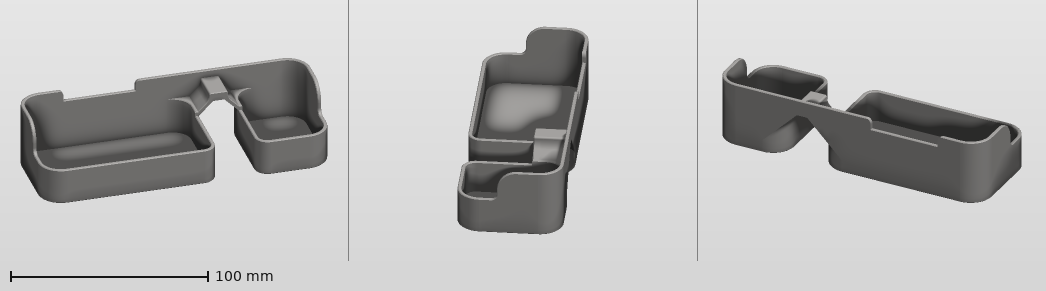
import cadquery as cq

width = 54.0
height = 35.0
large_length = 91.5
gap = 21.0
small_length = 39.5
length = large_length + gap + small_length
gap_start = large_length
gap_end = large_length + gap
gap_center = large_length + gap / 2

wall = 2.0
floor = 2.0
corner_radius = 12.0
gap_corner_radius = 7.0
edge_chamfer = 0.38

low_height = 19.0
step_x = 32.8
step_top_radius = 10.0
step_foot_radius = 3.0

bridge_width = 18.5
arch_height = 26.5
arch_flat = 6.0
shelf_height = 21.5
flank_foot = gap / 2 + 0.3
pad_length = 9.9
pad_height = 31.0
pad_edge_radius = 1.0
pad_foot_radius = 6.0

notch_start = 25.0
notch_length = 38.0
notch_depth = 6.0
notch_radius = 3.0
notch_end = notch_start + notch_length
notch_floor = height - notch_depth

tolerance = 0.002
longest_cross_edge = 1.5 * wall

span_half = gap / 2 + corner_radius
span = (gap_center - span_half, gap_center + span_half)


def box(x_range, y_range, z_range):
    """Axis-aligned box from its start and end along each axis."""
    sizes = [end - start for start, end in (x_range, y_range, z_range)]
    start = (x_range[0], y_range[0], z_range[0])
    return cq.Workplane("XY").box(*sizes, centered=False).translate(start)


def rounded_box(y_range, z_range, inset, gap_side):
    """Box across the width, inset from the outer tray walls; its +X corner at the gap is tighter."""
    start, end = y_range
    block = box((inset, width - inset), (start + inset, end - inset), z_range)
    far_side = "<Y" if gap_side == ">Y" else ">Y"
    block = block.edges(f"|Z and (<X or {far_side})").fillet(corner_radius - inset)
    return block.edges(f"|Z and >X and {gap_side}").fillet(gap_corner_radius - inset)


def tray_body(y_range, gap_side):
    body = rounded_box(y_range, (0, height), 0, gap_side)
    return body.faces("<Z").edges().chamfer(edge_chamfer)


def tray_pocket(y_range, gap_side):
    return rounded_box(y_range, (floor, height), wall, gap_side)


def low_side():
    """Space above the low side, with the rounded step in the end walls."""
    step = (
        cq.Workplane("XZ")
        .moveTo(step_x - step_top_radius, height)
        .radiusArc((step_x, height - step_top_radius), step_top_radius)
        .lineTo(step_x, low_height + step_foot_radius)
        .radiusArc((step_x + step_foot_radius, low_height), -step_foot_radius)
        .lineTo(width, low_height)
        .lineTo(width, height)
        .close()
        .extrude(-length)
    )
    gap_walls = box((wall, width), span, (low_height, height))
    return step.union(gap_walls)


def gap_prism(half_outline, x_end):
    """Prism along X, symmetric about the middle of the gap; points run from the top outwards."""
    mirrored = [(-y, z) for y, z in reversed(half_outline)]
    return (
        cq.Workplane("YZ", origin=(0, gap_center, 0))
        .polyline(half_outline + mirrored)
        .close()
        .extrude(x_end)
    )


def bridge():
    """Solid bridge with the raised pad on top; the passage below it is cut later."""
    pad_half = pad_length / 2
    pad_foot = shelf_height + flank_foot - pad_half
    half_outline = [
        (pad_half, pad_height),
        (pad_half, pad_foot),
        (flank_foot, shelf_height),
        (span_half, shelf_height),
        (span_half, 0),
    ]
    block = gap_prism(half_outline, bridge_width)
    for z, radius in ((pad_height, pad_edge_radius), (pad_foot, pad_foot_radius)):
        for side in (-1, 1):
            corner = (bridge_width / 2, gap_center + side * pad_half, z)
            block = block.edges(cq.selectors.NearestToPointSelector(corner)).fillet(radius)
    open_side = block.faces(">X").edges().vals()
    top_edges = [edge for edge in open_side if edge.Center().z > shelf_height - tolerance]
    return block.newObject(top_edges).chamfer(edge_chamfer)


def shelf_lip(y_range, gap_side):
    """Sloped cut that chamfers the bridge shelf where it meets a tray pocket."""
    z_range = (shelf_height - edge_chamfer, height)
    flared_pocket = rounded_box(y_range, z_range, wall - edge_chamfer, gap_side)
    flared_pocket = flared_pocket.faces("<Z").edges().chamfer(edge_chamfer)
    return flared_pocket.intersect(box((wall, bridge_width), span, z_range))


def passage():
    """Arched space below the bridge, between the rounded tray corners."""
    arch_half = arch_flat / 2
    arch_base = arch_height - (span_half - arch_half)
    return gap_prism([(arch_half, arch_height), (span_half, arch_base), (span_half, 0)], bridge_width)


def notch():
    """Opening through the side wall with rounded upper corners."""
    return (
        cq.Workplane("YZ")
        .moveTo(notch_start - notch_radius, height)
        .radiusArc((notch_start, height - notch_radius), notch_radius)
        .lineTo(notch_start, notch_floor)
        .lineTo(notch_end, notch_floor)
        .lineTo(notch_end, height - notch_radius)
        .radiusArc((notch_end + notch_radius, height), notch_radius)
        .close()
        .extrude(wall)
    )


def chamfer_level_edges(body, levels):
    """Chamfer the long level edges at the given heights; short edges across a wall stay sharp."""
    chosen = []
    for edge in body.edges().vals():
        bounds = edge.BoundingBox()
        is_level = bounds.zlen < tolerance
        at_height = any(abs(bounds.zmax - z) < tolerance for z in levels)
        if is_level and at_height and edge.Length() > longest_cross_edge:
            chosen.append(edge)
    return body.newObject(chosen).chamfer(edge_chamfer)


large_tray = ((0, gap_start), ">Y")
small_tray = ((gap_end, length), "<Y")
tray_bodies = tray_body(*large_tray).union(tray_body(*small_tray))
side_wall = box((0, wall), span, (0, height))

part = (
    tray_bodies.cut(low_side())
    .union(bridge())
    .union(side_wall)
    .cut(tray_pocket(*large_tray))
    .cut(tray_pocket(*small_tray))
)
part = chamfer_level_edges(part, (height, low_height))
part = chamfer_level_edges(part.cut(notch()), (notch_floor,))
part = part.cut(shelf_lip(*large_tray)).cut(shelf_lip(*small_tray))

result = part.cut(passage().cut(tray_bodies))